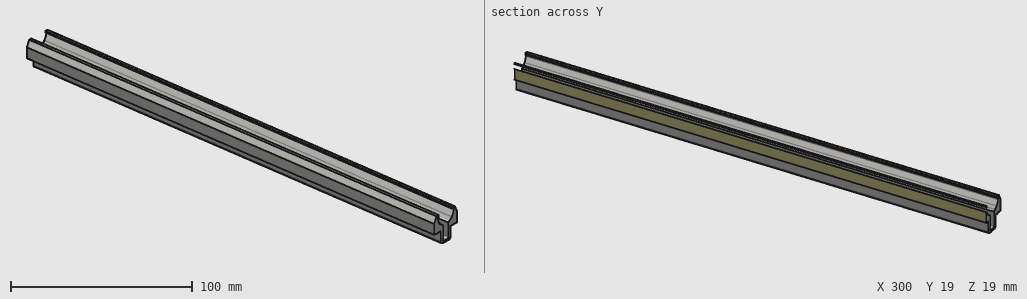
import cadquery as cq
import math

length = 300.0
width = 19.0
height = 19.0

stem_width = 8.2
slot_width = 4.3
slot_floor_z = 1.0
slot_floor_fillet = 1.0
stem_corner_fillet = 1.6

wing_bottom_z = 8.1
bevel_bottom_z = 15.0
lip_outer_half = 7.65
lip_inner_half = 5.7
lip_thickness = 0.9

channel_width = 13.1
channel_widest_z = 18.0
wall_radius = 7.5
ramp_radius = 6.5
wall_end_angle = math.radians(37)
ramp_end_angle = math.radians(56)

half_width = width / 2
stem_half = stem_width / 2
slot_half = slot_width / 2
lip_bottom_z = height - lip_thickness


def arc_point(center, radius, angle):
    """Point of a channel arc, with the angle measured downward from +Y."""
    return (
        center[0] + radius * math.cos(angle),
        center[1] - radius * math.sin(angle),
    )


wall_center = (channel_width / 2 - wall_radius, channel_widest_z)
ramp_center = arc_point(wall_center, wall_radius - ramp_radius, wall_end_angle)
wall_start_angle = math.asin((channel_widest_z - lip_bottom_z) / wall_radius)
wall_start = arc_point(wall_center, wall_radius, wall_start_angle)
wall_middle = arc_point(wall_center, wall_radius, (wall_start_angle + wall_end_angle) / 2)
wall_end = arc_point(wall_center, wall_radius, wall_end_angle)
ramp_middle = arc_point(ramp_center, ramp_radius, (wall_end_angle + ramp_end_angle) / 2)
ramp_end = arc_point(ramp_center, ramp_radius, ramp_end_angle)
slot_top_z = ramp_end[1] - (ramp_end[0] - slot_half) / math.tan(ramp_end_angle)


def make_half_section():
    """The +Y half of the section, closed along the plane of symmetry."""
    return (
        cq.Workplane("YZ")
        .moveTo(0, 0)
        .lineTo(stem_half - stem_corner_fillet, 0)
        .radiusArc((stem_half, stem_corner_fillet), -stem_corner_fillet)
        .lineTo(stem_half, wing_bottom_z)
        .lineTo(half_width, wing_bottom_z)
        .lineTo(half_width, bevel_bottom_z)
        .lineTo(lip_outer_half, height)
        .lineTo(lip_inner_half, height)
        .lineTo(lip_inner_half, lip_bottom_z)
        .lineTo(*wall_start)
        .threePointArc(wall_middle, wall_end)
        .threePointArc(ramp_middle, ramp_end)
        .lineTo(slot_half, slot_top_z)
        .lineTo(slot_half, slot_floor_z + slot_floor_fillet)
        .radiusArc((slot_half - slot_floor_fillet, slot_floor_z), slot_floor_fillet)
        .lineTo(0, slot_floor_z)
        .close()
    )


half_rail = make_half_section().extrude(length)
result = half_rail.union(half_rail.mirror("XZ")).clean()